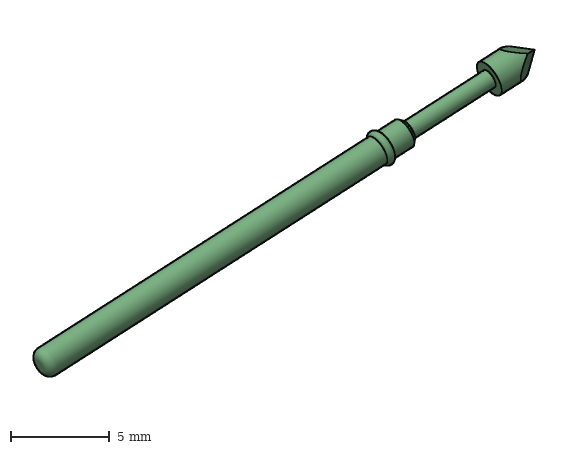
import cadquery as cq
import math

length = 32.3

barrel_diameter = 1.65
barrel_radius = barrel_diameter / 2
barrel_end_fillet = 0.45
barrel_top = 24.0
crimp_length = 0.23
crimp_mouth_radius = 0.6

ring_radius = 1.0
ring_center = 22.25
ring_width = 0.52

plunger_radius = 0.52

head_radius = 1.0
head_length = 2.97
tip_face_angle = 30.0
tip_sides = 3

head_base = length - head_length


def turned_body():
    """Barrel, ring, plunger and cylindrical head as one revolved profile."""
    ring_round = ring_width / 2
    ring_start = ring_center - ring_round
    ring_end = ring_center + ring_round
    ring_flank = ring_radius - ring_round
    fillet_center_radius = barrel_radius - barrel_end_fillet
    fillet_mid = barrel_end_fillet * math.sqrt(0.5)
    profile = (
        cq.Workplane("XY")
        .moveTo(0, 0)
        .lineTo(fillet_center_radius, 0)
        .threePointArc(
            (fillet_center_radius + fillet_mid, barrel_end_fillet - fillet_mid),
            (barrel_radius, barrel_end_fillet),
        )
        .lineTo(barrel_radius, barrel_top - crimp_length)
        .lineTo(crimp_mouth_radius, barrel_top)
        .lineTo(plunger_radius, barrel_top)
        .lineTo(plunger_radius, head_base)
        .lineTo(head_radius, head_base)
        .lineTo(head_radius, length)
        .lineTo(0, length)
        .close()
    )
    body = profile.revolve(360, (0, 0, 0), (0, 1, 0))
    ring = (
        cq.Workplane("XY")
        .moveTo(0, ring_start)
        .lineTo(ring_flank, ring_start)
        .threePointArc((ring_radius, ring_center), (ring_flank, ring_end))
        .lineTo(0, ring_end)
        .close()
        .revolve(360, (0, 0, 0), (0, 1, 0))
    )
    return body.union(ring)


def tip_face_cutter():
    """Wedge that leaves one sloping pyramid face, on the +X side of the tip."""
    reach = 2 * head_radius
    drop = reach / math.tan(math.radians(tip_face_angle))
    return (
        cq.Workplane("XY")
        .moveTo(0, length)
        .lineTo(reach, length - drop)
        .lineTo(reach, length + reach)
        .lineTo(-reach, length + reach)
        .lineTo(-reach, length)
        .close()
        .extrude(reach, both=True)
    )


result = turned_body()
for side in range(tip_sides):
    cutter = tip_face_cutter().rotate((0, 0, 0), (0, 1, 0), side * 360 / tip_sides)
    result = result.cut(cutter)